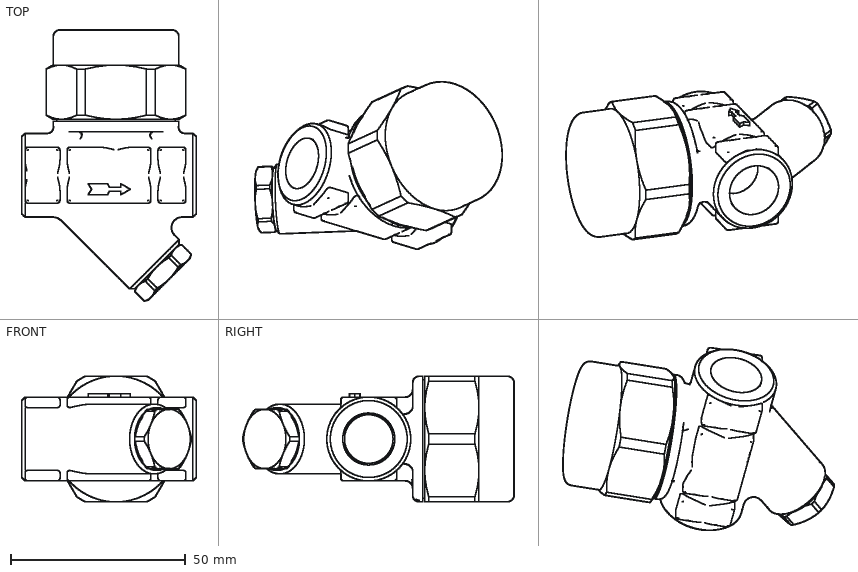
import cadquery as cq
import math

body_radius = 12.0
body_length = 50.0
body_end_chamfer = 1.0
port_mouth_diameter = 14.89
port_end_diameter = 13.89
port_depth = 16.0
port_tip_angle = 118.0

cap_axis_x = 2.0
cap_radius = 18.0
cap_top_y = 41.57
cap_top_fillet = 2.0
cap_hex_across_flats = 36.0
cap_hex_trim_diameter = 40.0
cap_hex_bottom_y = 16.0
cap_hex_top_y = 31.5
groove_width = 0.5
groove_radius = 17.0
flange_bottom_y = 12.5
flange_round = 2.0
neck_radius = 12.0
neck_fillet = 2.0
neck_body_fillet = 1.7

leg_start_x = -12.5
leg_angle = 45.0
leg_radius = 10.0
leg_length = 37.0
leg_end_chamfer = 1.0
leg_body_fillet = 3.0

plug_across_flats = 17.0
plug_trim_diameter = 19.0
plug_height = 5.0

hex_chamfer_angle = 30.0

pad_spans = [(-24.0, -14.0), (-12.0, 12.0), (14.0, 22.0)]
pad_half_width = 8.0
pad_corner_radius = 0.9
pad_edge_fillet = 0.85

arrow_tail_x = -6.0
arrow_notch_x = -5.0
arrow_shaft_x = -0.4
arrow_shaft_step = 0.5
arrow_head_x = 3.4
arrow_tip_x = 6.1
arrow_center_y = -4.0
arrow_half_width = 1.55
arrow_shaft_half_width = 0.6
arrow_height = 1.0


def cap_plane(y):
    """Sketch plane across the cap axis at height y, facing +Y."""
    return cq.Plane(origin=(cap_axis_x, y, 0), xDir=(1, 0, 0), normal=(0, 1, 0))


def leg_plane(distance):
    """Sketch plane across the leg axis, a distance along it from its start."""
    angle = math.radians(leg_angle)
    direction = cq.Vector(math.cos(angle), -math.sin(angle), 0)
    origin = cq.Vector(leg_start_x, 0, 0) + direction * distance
    across = cq.Vector(math.sin(angle), math.cos(angle), 0)
    return cq.Plane(origin=origin, xDir=across, normal=direction)


def trimmed_hexagon(plane, across_flats, trim_diameter, height):
    """Hexagon with corners on the plane's x axis, trimmed round and chamfered at both ends."""
    flat_radius = across_flats / 2
    trim_radius = trim_diameter / 2
    chamfer_width = trim_radius - flat_radius
    chamfer_rise = chamfer_width * math.tan(math.radians(hex_chamfer_angle))
    corner_diameter = across_flats / math.cos(math.pi / 6)
    prism = cq.Workplane("XY").polygon(6, corner_diameter).extrude(height)
    envelope = (
        cq.Workplane("XZ")
        .lineTo(flat_radius, 0)
        .lineTo(trim_radius, chamfer_rise)
        .lineTo(trim_radius, height - chamfer_rise)
        .lineTo(flat_radius, height)
        .lineTo(0, height)
        .close()
        .revolve()
    )
    return prism.intersect(envelope).val().moved(plane.location)


def make_neck_and_flange():
    """Round neck flaring into the flange, turned about the cap axis."""
    flange_top_y = cap_hex_bottom_y - groove_width
    profile = (
        cq.Workplane("XY")
        .lineTo(neck_radius, 0)
        .lineTo(neck_radius, flange_bottom_y - neck_fillet)
        .radiusArc((neck_radius + neck_fillet, flange_bottom_y), neck_fillet)
        .lineTo(cap_radius - flange_round, flange_bottom_y)
        .radiusArc((cap_radius, flange_bottom_y + flange_round), -flange_round)
        .lineTo(cap_radius, flange_top_y)
        .lineTo(0, flange_top_y)
        .close()
    )
    return profile.revolve(360, (0, 0, 0), (0, 1, 0)).translate((cap_axis_x, 0, 0))


def blend_junction(solid, lowest_y, highest_y, radius):
    """Fillet the curved seams whose centres lie between two heights."""
    seams = [
        edge
        for edge in solid.edges().vals()
        if edge.geomType() == "BSPLINE" and lowest_y < edge.Center().y < highest_y
    ]
    return solid.newObject(seams).fillet(radius)


def make_casting():
    """Pipe body blended into the neck and into the strainer leg."""
    body = (
        cq.Workplane("YZ", origin=(-body_length / 2, 0, 0))
        .circle(body_radius)
        .extrude(body_length)
        .faces("<X or >X")
        .chamfer(body_end_chamfer)
    )
    casting = body.union(make_neck_and_flange())
    casting = blend_junction(casting, 0, flange_bottom_y, neck_body_fillet)
    leg = (
        cq.Workplane(leg_plane(0))
        .circle(leg_radius)
        .extrude(leg_length)
        .faces(cq.DirectionMinMaxSelector(leg_plane(0).zDir))
        .chamfer(leg_end_chamfer)
    )
    casting = casting.union(leg)
    return blend_junction(casting, -body_radius, 0, leg_body_fillet)


def make_cap():
    """Groove core, hexagon and rounded cylinder of the screwed cap."""
    groove_bottom_y = cap_hex_bottom_y - groove_width
    groove_core = cq.Workplane(cap_plane(groove_bottom_y)).circle(groove_radius).extrude(groove_width)
    hexagon = trimmed_hexagon(
        cap_plane(cap_hex_bottom_y),
        cap_hex_across_flats,
        cap_hex_trim_diameter,
        cap_hex_top_y - cap_hex_bottom_y,
    )
    cylinder = (
        cq.Workplane(cap_plane(cap_hex_top_y))
        .circle(cap_radius)
        .extrude(cap_top_y - cap_hex_top_y)
        .faces(">Y")
        .fillet(cap_top_fillet)
    )
    return groove_core.union(hexagon).union(cylinder)


def make_plug():
    """Hexagon plug seated on the end face of the leg."""
    return trimmed_hexagon(leg_plane(leg_length), plug_across_flats, plug_trim_diameter, plug_height)


def make_pads():
    """Blocks through the body that show as flat pads on its upper and lower sides."""
    pads = cq.Workplane("XY")
    for start_x, end_x in pad_spans:
        pad = (
            cq.Workplane("XY", origin=((start_x + end_x) / 2, 0, 0))
            .rect(end_x - start_x, 2 * pad_half_width)
            .extrude(body_radius, both=True)
            .edges("|Z")
            .fillet(pad_corner_radius)
            .faces("<Z or >Z")
            .edges()
            .fillet(pad_edge_fillet)
        )
        pads = pads.add(pad)
    return pads.combine()


def make_arrow():
    """Raised arrow pointing along the flow."""
    half_outline = [
        (arrow_notch_x, 0),
        (arrow_tail_x, arrow_half_width),
        (arrow_shaft_x, arrow_half_width),
        (arrow_shaft_x + arrow_shaft_step, arrow_shaft_half_width),
        (arrow_head_x, arrow_shaft_half_width),
        (arrow_head_x, arrow_half_width),
        (arrow_tip_x, 0),
    ]
    return (
        cq.Workplane("XY", origin=(0, arrow_center_y, 0))
        .polyline(half_outline)
        .mirrorX()
        .extrude(body_radius + arrow_height)
    )


def make_port(side):
    """Tapered port with a conical bottom, entering from side -1 (-X) or +1 (+X)."""
    mouth_x = body_length / 2
    end_x = mouth_x - port_depth
    end_radius = port_end_diameter / 2
    tip_x = end_x - end_radius / math.tan(math.radians(port_tip_angle / 2))
    return (
        cq.Workplane("XY")
        .moveTo(side * mouth_x, 0)
        .lineTo(side * mouth_x, port_mouth_diameter / 2)
        .lineTo(side * end_x, end_radius)
        .lineTo(side * tip_x, 0)
        .close()
        .revolve(360, (0, 0, 0), (1, 0, 0))
    )


result = make_casting()
for feature in (make_cap(), make_plug(), make_pads(), make_arrow()):
    result = result.union(feature)
for side in (-1, 1):
    result = result.cut(make_port(side))